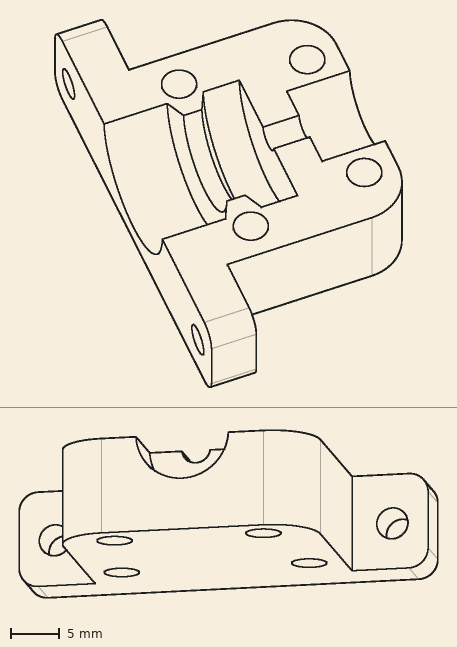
import cadquery as cq

width = 43.0
depth = 26.0
height = 10.0

body_width = 27.0
body_corner_radius = 5.0
flange_thickness = 5.0
flange_corner_radius = 2.0

axis_offset = 0.2
axis_height = height + axis_offset
bore_radius = 8.0
neck_radius = 5.95
passage_radius = 1.5
rear_radius = 4.85
entry_length = 7.0
taper_length = 1.0
neck_length = 2.0
chamber_length = 4.0
passage_length = 4.0

clamp_hole_diameter = 3.6
front_clamp_spacing = 19.7
front_clamp_y = 9.07
rear_clamp_spacing = 15.65
rear_clamp_y = 22.5

mount_hole_diameter = 3.25
mount_spacing = 35.48
mount_height = 4.8


def block(size_x, size_y):
    """Full-height block centred on X, with its front face at Y = 0."""
    return cq.Workplane("XY").box(size_x, size_y, height, centered=(True, False, False))


def bore_cutter():
    """Solid of revolution about the Y-direction bore axis."""
    neck_start = entry_length + taper_length
    neck_end = neck_start + neck_length
    chamber_start = neck_end + taper_length
    chamber_end = chamber_start + chamber_length
    passage_end = chamber_end + passage_length
    profile = [
        (0, 0),
        (bore_radius, 0),
        (bore_radius, entry_length),
        (neck_radius, neck_start),
        (neck_radius, neck_end),
        (bore_radius, chamber_start),
        (bore_radius, chamber_end),
        (passage_radius, chamber_end),
        (passage_radius, passage_end),
        (rear_radius, passage_end),
        (rear_radius, depth),
        (0, depth),
    ]
    cutter = cq.Workplane("XY").polyline(profile).close().revolve(360, (0, 0), (0, 1))
    return cutter.translate((0, 0, axis_height))


def clamp_holes(spacing, y):
    """Pair of vertical through-hole cutters, symmetric about X = 0."""
    centers = [(-spacing / 2, y), (spacing / 2, y)]
    return cq.Workplane("XY").pushPoints(centers).circle(clamp_hole_diameter / 2).extrude(height)


def mount_holes():
    """Pair of cutters running through the flange thickness."""
    centers = [(-mount_spacing / 2, mount_height), (mount_spacing / 2, mount_height)]
    face = cq.Workplane("XZ").pushPoints(centers)
    return face.circle(mount_hole_diameter / 2).extrude(-flange_thickness)


body = block(body_width, depth).edges("|Z and >Y").fillet(body_corner_radius)
flange = block(width, flange_thickness).edges("|Y").fillet(flange_corner_radius)

result = (
    body.union(flange)
    .cut(bore_cutter())
    .cut(clamp_holes(front_clamp_spacing, front_clamp_y))
    .cut(clamp_holes(rear_clamp_spacing, rear_clamp_y))
    .cut(mount_holes())
)